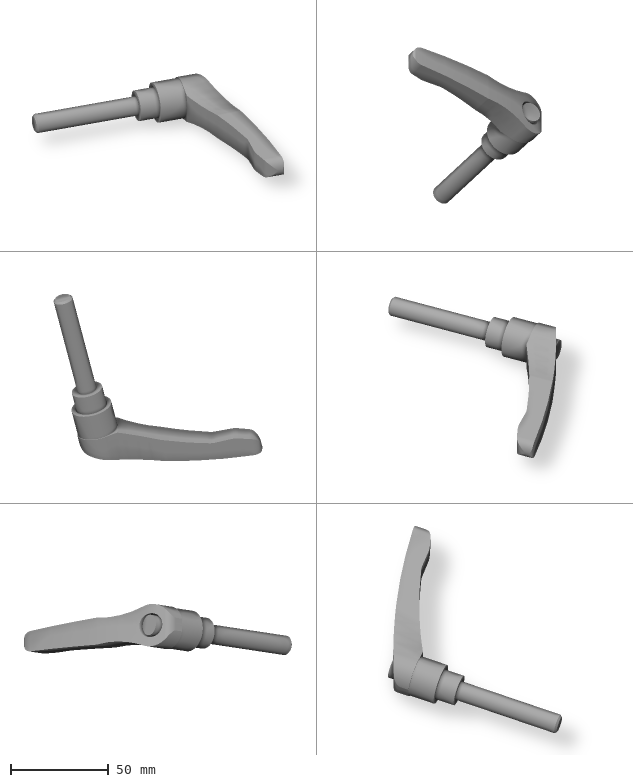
import cadquery as cq
import math


STUD_DIAMETER = 10.0
STUD_LENGTH = 55.0
STUD_CHAMFER = 1.0
COLLAR_DIAMETER = 16.0
COLLAR_LENGTH = 10.0
SLEEVE_DIAMETER = 21.0
SLEEVE_LENGTH = 13.8
SLEEVE_SEAT_DEPTH = 4.0
SLEEVE_BORE_DIAMETER = 16.6
SLEEVE_BORE_DEPTH = 3.0

HUB_RADIUS = 11.0
EXPOSED_STRIP_WIDTH = 1.1
HUB_FLAT_X = -math.sqrt((SLEEVE_DIAMETER / 2) ** 2 - (EXPOSED_STRIP_WIDTH / 2) ** 2)
HUB_BACK_HEIGHT = 7.8
HUB_BACK_ROUND = 5.0

BUTTON_DIAMETER = 10.6
BUTTON_TOP = 13.2
BUTTON_POCKET_DIAMETER = 12.4

LEVER_TIP_X = 80.0
LEVER_TOP = 30.6
TOP_ARC_MIDDLE = (40.0, 24.7)
HEEL_X = 10.5
UNDERSIDE_START = (14.6, 2.15)
UNDERSIDE_MIDDLE = (37.0, 12.07)
FINGER_START_X = 56.2
FINGER_END_X = 67.95
FINGER_HEIGHT = 18.2
TIP_LOW_Y = 21.95
UNDERSIDE_BLEND = 10.0
FINGER_BLEND = 11.6
TIP_LOW_ROUND = 7.0
TIP_TOP_ROUND = 1.3

WAIST_START_X = 4.6
WAIST_LOW = (24.0, 6.5)
KNUCKLE = (30.8, 7.05)
KNUCKLE_BLEND = 6.0
TIP_RADIUS = 5.3


def cylinder(diameter, y_from, y_to):
    """Cylinder on the stud axis between two heights."""
    start = cq.Workplane("XZ", origin=(0, y_to, 0))
    return start.circle(diameter / 2).extrude(y_to - y_from)


def round_edge(body, direction, point, radius):
    """Round the one edge parallel to the given axis that lies nearest to a point."""
    edge = cq.selectors.NearestToPointSelector(point)
    return body.edges(f"|{direction}").edges(edge).fillet(radius)


def side_profile():
    """Lever outline in XY, extruded across Z."""
    half_depth = 2 * HUB_RADIUS
    body = (
        cq.Workplane("XY", origin=(0, 0, -half_depth))
        .moveTo(HUB_FLAT_X, 0)
        .lineTo(HEEL_X, 0)
        .lineTo(*UNDERSIDE_START)
        .threePointArc(UNDERSIDE_MIDDLE, (FINGER_START_X, FINGER_HEIGHT))
        .lineTo(FINGER_END_X, FINGER_HEIGHT)
        .lineTo(LEVER_TIP_X, TIP_LOW_Y)
        .lineTo(LEVER_TIP_X, LEVER_TOP)
        .threePointArc(TOP_ARC_MIDDLE, (HUB_FLAT_X, HUB_BACK_HEIGHT))
        .close()
        .extrude(2 * half_depth)
    )
    rounds = [
        ((HUB_FLAT_X, HUB_BACK_HEIGHT, 0), HUB_BACK_ROUND),
        ((FINGER_START_X, FINGER_HEIGHT, 0), UNDERSIDE_BLEND),
        ((FINGER_END_X, FINGER_HEIGHT, 0), FINGER_BLEND),
        ((LEVER_TIP_X, TIP_LOW_Y, 0), TIP_LOW_ROUND),
        ((LEVER_TIP_X, LEVER_TOP, 0), TIP_TOP_ROUND),
    ]
    for point, radius in rounds:
        body = round_edge(body, "Z", point, radius)
    return body


def plan_profile():
    """Lever outline in XZ, extruded along Y: hub circle, waist, tapering grip, round tip."""
    waist_start = (WAIST_START_X, math.sqrt(HUB_RADIUS**2 - WAIST_START_X**2))
    tip_start = (LEVER_TIP_X - TIP_RADIUS, TIP_RADIUS)

    def mirrored(point):
        return (point[0], -point[1])

    body = (
        cq.Workplane("XZ", origin=(0, LEVER_TOP, 0))
        .moveTo(*waist_start)
        .threePointArc(WAIST_LOW, KNUCKLE)
        .lineTo(*tip_start)
        .threePointArc((LEVER_TIP_X, 0), mirrored(tip_start))
        .lineTo(*mirrored(KNUCKLE))
        .threePointArc(mirrored(WAIST_LOW), mirrored(waist_start))
        .threePointArc((-HUB_RADIUS, 0), waist_start)
        .close()
        .extrude(LEVER_TOP)
    )
    for x, z in (KNUCKLE, mirrored(KNUCKLE)):
        body = round_edge(body, "Y", (x, LEVER_TOP / 2, z), KNUCKLE_BLEND)
    return body


def lever():
    """Lever body with the open button pocket."""
    body = side_profile().intersect(plan_profile())
    return body.cut(cylinder(BUTTON_POCKET_DIAMETER, SLEEVE_SEAT_DEPTH, LEVER_TOP))


def sleeve():
    """Sleeve under the hub, bored from below around the collar."""
    body = cylinder(SLEEVE_DIAMETER, -SLEEVE_LENGTH, SLEEVE_SEAT_DEPTH)
    bore_top = -SLEEVE_LENGTH + SLEEVE_BORE_DEPTH
    return body.cut(cylinder(SLEEVE_BORE_DIAMETER, -SLEEVE_LENGTH, bore_top))


def stud():
    """Button, collar and chamfered stud on one axis."""
    collar_bottom = -SLEEVE_LENGTH - COLLAR_LENGTH
    stud_tip = collar_bottom - STUD_LENGTH
    shaft = cylinder(STUD_DIAMETER, stud_tip, 0).faces("<Y").chamfer(STUD_CHAMFER)
    collar = cylinder(COLLAR_DIAMETER, collar_bottom, 0)
    button = cylinder(BUTTON_DIAMETER, 0, BUTTON_TOP)
    return shaft.union(collar).union(button)


result = lever().union(sleeve()).union(stud())